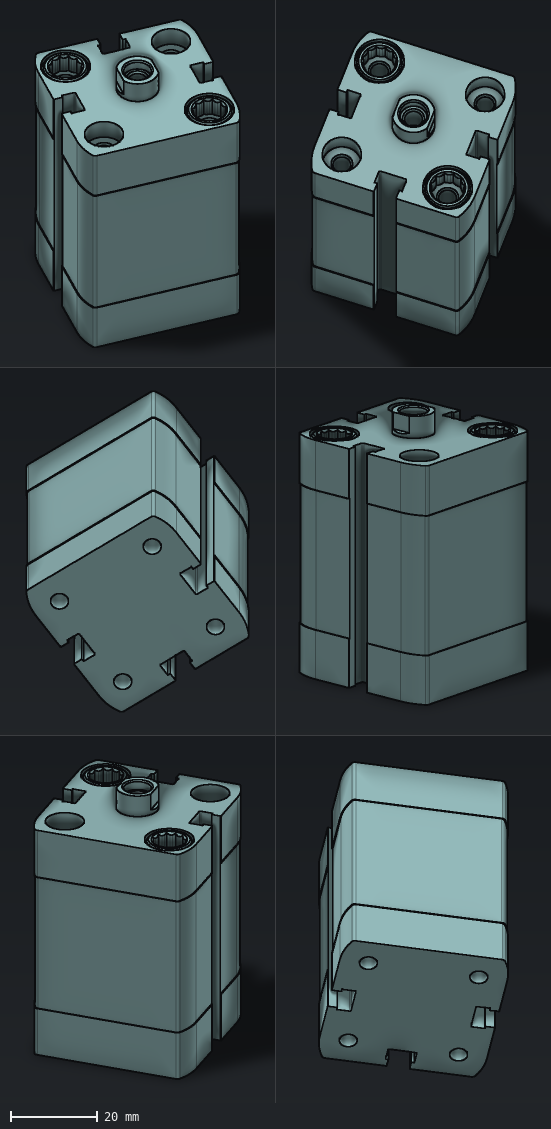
import cadquery as cq
import math

TOTAL_HEIGHT = 63.55
HOUSING_WIDTH = 39.5
ROD_STICK_OUT = 5.35
HOUSING_HEIGHT = TOTAL_HEIGHT - ROD_STICK_OUT
HALF_WIDTH = HOUSING_WIDTH / 2

TOP_CAP_HEIGHT = 12.2
BOTTOM_CAP_HEIGHT = 12.0
BARREL_INSET = 0.2
CORNER_ARC_RADIUS = 12.7
CORNER_BLEND_RADIUS = 0.95

SLOT_NECK_WIDTH = 5.4
SLOT_LIP_DEPTH = 2.3
SLOT_CAVITY_WIDTH = 6.8
SLOT_DEPTH = 5.6
SLOT_MOUTH_CHAMFER = 0.1
SLOT_FLOOR_FILLET = 0.3
SLOT_ANGLES = (90, 180, 270)

HOLE_OFFSET = 13.0
HOLE_DIAMETER = 4.1
COUNTERSINK_DIAMETER = 5.0
COUNTERBORE_DIAMETER = 9.0
COUNTERBORE_DEPTH = 4.7
COUNTERBORED_CORNERS = ((-1, 1), (1, -1))
SOCKET_CORNERS = ((-1, -1), (1, 1))

GROOVE_OUTER_DIAMETER = 11.5
HEAD_DIAMETER = 10.5
HEAD_CHAMFER = 0.4
GROOVE_DEPTH = 1.3
SOCKET_DEPTH = COUNTERBORE_DEPTH
SOCKET_TIP_DIAMETER = 7.5
SOCKET_ROOT_DIAMETER = 8.0
TOOTH_COUNT = 12
TOOTH_TIP_WIDTH = 0.65
SOCKET_LEAD_IN_DIAMETER = 8.4
SOCKET_LEAD_IN_HEIGHT = 0.7

ROD_DIAMETER = 10.0
ROD_INSERTION = TOP_CAP_HEIGHT
FLATS_WIDTH = 8.65
FLATS_HEIGHT = 4.05
FLATS_SHELF_DROP = 0.4
ROD_COUNTERBORE_DIAMETER = 6.4
ROD_COUNTERBORE_RIM_DIAMETER = 7.25
ROD_COUNTERBORE_CHAMFER_HEIGHT = 0.3
ROD_COUNTERBORE_DEPTH = 2.35
ROD_DRILL_DEPTH = 9.55
DRILL_POINT_ANGLE = 118.0


def turned(profile):
    """Solid of revolution about Z from (radius, z) points."""
    return cq.Workplane("XZ").polyline(profile).close().revolve(360, (0, 0), (0, 1))


def rounded_block(inset, bottom, top):
    """Block whose Y faces run into the X faces by a large arc and a small blend."""
    half = HALF_WIDTH - inset
    arc_radius = CORNER_ARC_RADIUS - inset
    tangent_x = HOLE_OFFSET
    center_y = half - arc_radius

    blend_x = half - CORNER_BLEND_RADIUS
    center_distance = arc_radius - CORNER_BLEND_RADIUS
    blend_angle = math.acos((blend_x - tangent_x) / center_distance)
    blend_y = center_y + center_distance * math.sin(blend_angle)
    mid_arc_angle = (math.pi / 2 + blend_angle) / 2
    arc_mid = (
        tangent_x + arc_radius * math.cos(mid_arc_angle),
        center_y + arc_radius * math.sin(mid_arc_angle),
    )
    arc_end = (
        tangent_x + arc_radius * math.cos(blend_angle),
        center_y + arc_radius * math.sin(blend_angle),
    )
    blend_mid = (
        blend_x + CORNER_BLEND_RADIUS * math.cos(blend_angle / 2),
        blend_y + CORNER_BLEND_RADIUS * math.sin(blend_angle / 2),
    )
    quarter = (
        cq.Workplane("XY", origin=(0, 0, bottom))
        .moveTo(0, 0)
        .lineTo(0, half)
        .lineTo(tangent_x, half)
        .threePointArc(arc_mid, arc_end)
        .threePointArc(blend_mid, (half, blend_y))
        .lineTo(half, 0)
        .close()
        .extrude(top - bottom)
    )
    right_half = quarter.union(quarter.mirror("XZ"))
    return right_half.union(right_half.mirror("YZ")).clean()


def slot_cutter():
    """Full-height T-slot with a chamfered mouth and rounded floor corners, opening on the +X side."""
    neck = SLOT_NECK_WIDTH / 2
    cavity = SLOT_CAVITY_WIDTH / 2
    mouth = neck + SLOT_MOUTH_CHAMFER
    lip_x = HALF_WIDTH - SLOT_LIP_DEPTH
    upper_half = [
        (HALF_WIDTH, mouth),
        (HALF_WIDTH - SLOT_MOUTH_CHAMFER, neck),
        (lip_x, neck),
        (lip_x, cavity),
        (HALF_WIDTH - SLOT_DEPTH, cavity),
    ]
    lower_half = [(x, -y) for x, y in reversed(upper_half)]
    slot = cq.Workplane("XY").polyline(upper_half + lower_half).close().extrude(HOUSING_HEIGHT)
    return slot.faces("<X").edges("|Z").fillet(SLOT_FLOOR_FILLET)


def through_hole_cutter(floor_z):
    """Through hole with a 45 degree countersink at the given floor."""
    radius = HOLE_DIAMETER / 2
    sink_radius = COUNTERSINK_DIAMETER / 2
    sink_bottom = floor_z - (sink_radius - radius)
    return turned([(0, 0), (radius, 0), (radius, sink_bottom), (sink_radius, floor_z), (0, floor_z)])


def counterbored_hole_cutter():
    floor_z = HOUSING_HEIGHT - COUNTERBORE_DEPTH
    counterbore = (
        cq.Workplane("XY", origin=(0, 0, floor_z)).circle(COUNTERBORE_DIAMETER / 2).extrude(COUNTERBORE_DEPTH)
    )
    return counterbore.union(through_hole_cutter(floor_z))


def polar(radius, angle):
    """Point at a radius and an angle in degrees."""
    return radius * math.cos(math.radians(angle)), radius * math.sin(math.radians(angle))


def toothed_socket(floor_z):
    """Socket whose wall carries flat-tipped teeth that meet in V-shaped valleys."""
    tip_radius = SOCKET_TIP_DIAMETER / 2
    root_radius = SOCKET_ROOT_DIAMETER / 2
    pitch = 360 / TOOTH_COUNT
    tip_half_angle = math.degrees(math.asin(TOOTH_TIP_WIDTH / 2 / tip_radius))
    outline = []
    for index in range(TOOTH_COUNT):
        valley_angle = index * pitch
        tooth_angle = valley_angle + pitch / 2
        outline.append(polar(root_radius, valley_angle))
        outline.append(polar(tip_radius, tooth_angle - tip_half_angle))
        outline.append(polar(tip_radius, tooth_angle + tip_half_angle))
    return cq.Workplane("XY", origin=(0, 0, floor_z)).polyline(outline).close().extrude(SOCKET_DEPTH)


def socket_hole_cutter():
    """Toothed socket, the groove around its head and the hole below it."""
    top_z = HOUSING_HEIGHT
    floor_z = top_z - SOCKET_DEPTH
    rim_radius = SOCKET_LEAD_IN_DIAMETER / 2
    tip_radius = SOCKET_TIP_DIAMETER / 2

    lead_in_z = top_z - SOCKET_LEAD_IN_HEIGHT
    lead_in = turned([(0, top_z), (rim_radius, top_z), (tip_radius, lead_in_z), (0, lead_in_z)])

    head_radius = HEAD_DIAMETER / 2
    groove_radius = GROOVE_OUTER_DIAMETER / 2
    groove = turned([
        (head_radius - HEAD_CHAMFER, top_z),
        (groove_radius, top_z),
        (groove_radius, top_z - GROOVE_DEPTH),
        (head_radius, top_z - GROOVE_DEPTH),
        (head_radius, top_z - HEAD_CHAMFER),
    ])
    return toothed_socket(floor_z).union(lead_in).union(groove).union(through_hole_cutter(floor_z))


def make_housing():
    barrel_top = HOUSING_HEIGHT - TOP_CAP_HEIGHT
    housing = rounded_block(0, 0, BOTTOM_CAP_HEIGHT)
    housing = housing.union(rounded_block(BARREL_INSET, BOTTOM_CAP_HEIGHT, barrel_top))
    housing = housing.union(rounded_block(0, barrel_top, HOUSING_HEIGHT))

    slot = slot_cutter()
    for angle in SLOT_ANGLES:
        housing = housing.cut(slot.rotate((0, 0, 0), (0, 0, 1), angle))

    hole_kinds = (
        (counterbored_hole_cutter(), COUNTERBORED_CORNERS),
        (socket_hole_cutter(), SOCKET_CORNERS),
    )
    for cutter, corners in hole_kinds:
        for x_sign, y_sign in corners:
            housing = housing.cut(cutter.translate((x_sign * HOLE_OFFSET, y_sign * HOLE_OFFSET, 0)))

    rod_hole = (
        cq.Workplane("XY", origin=(0, 0, HOUSING_HEIGHT - ROD_INSERTION))
        .circle(ROD_DIAMETER / 2)
        .extrude(ROD_INSERTION)
    )
    return housing.cut(rod_hole)


def flat_cutter():
    """Wrench flat on the +Y side, ending in an outward-sloping shelf."""
    flat_y = FLATS_WIDTH / 2
    outer_y = ROD_DIAMETER / 2
    shelf_z = TOTAL_HEIGHT - FLATS_HEIGHT
    return (
        cq.Workplane("YZ")
        .polyline([
            (flat_y, TOTAL_HEIGHT),
            (flat_y, shelf_z),
            (outer_y, shelf_z - FLATS_SHELF_DROP),
            (outer_y, TOTAL_HEIGHT),
        ])
        .close()
        .extrude(ROD_DIAMETER / 2, both=True)
    )


def rod_bore_cutter():
    """Stepped bore: chamfered counterbore, countersunk drilling and conical drill point."""
    rim_radius = ROD_COUNTERBORE_RIM_DIAMETER / 2
    bore_radius = ROD_COUNTERBORE_DIAMETER / 2
    sink_radius = COUNTERSINK_DIAMETER / 2
    drill_radius = HOLE_DIAMETER / 2
    step_z = TOTAL_HEIGHT - ROD_COUNTERBORE_DEPTH
    drill_z = TOTAL_HEIGHT - ROD_DRILL_DEPTH
    point_height = drill_radius / math.tan(math.radians(DRILL_POINT_ANGLE / 2))
    return turned([
        (0, TOTAL_HEIGHT),
        (rim_radius, TOTAL_HEIGHT),
        (bore_radius, TOTAL_HEIGHT - ROD_COUNTERBORE_CHAMFER_HEIGHT),
        (bore_radius, step_z),
        (sink_radius, step_z),
        (drill_radius, step_z - (sink_radius - drill_radius)),
        (drill_radius, drill_z),
        (0, drill_z - point_height),
    ])


def make_piston_rod():
    rod = (
        cq.Workplane("XY", origin=(0, 0, HOUSING_HEIGHT - ROD_INSERTION))
        .circle(ROD_DIAMETER / 2)
        .extrude(ROD_INSERTION + ROD_STICK_OUT)
    )
    flat = flat_cutter()
    return rod.cut(flat).cut(flat.mirror("XZ")).cut(rod_bore_cutter())


housing = make_housing()
piston_rod = make_piston_rod()
result = cq.Compound.makeCompound([housing.val(), piston_rod.val()])